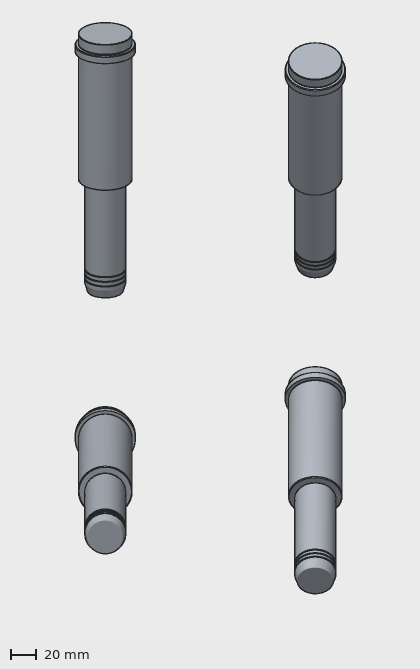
import cadquery as cq

total_length = 220.0

rod_radius = 16.0
sleeve_radius = 21.0
collar_radius = 23.5

sleeve_bottom = 95.0
collar_bottom = 204.8
collar_top = 211.0

tip_height = 7.0
tip_end_radius = 14.0
tip_rounding = 0.7

sleeve_top_chamfer = 0.5
sleeve_bottom_chamfer = 0.7
collar_chamfer = 0.7

rod_relief_height = 1.5
rod_relief_depth = 1.0
collar_relief_flat = 0.2
collar_relief_slope = 0.2
collar_relief_depth = 0.2

groove_count = 3
groove_pitch = 4.0
groove_width = 0.7
groove_depth = 0.5
first_groove_height = 10.8


def cylinder(radius, bottom, top):
    """Solid cylinder on the Z axis between two heights."""
    return cq.Workplane("XY").workplane(offset=bottom).circle(radius).extrude(top - bottom)


def ring_cut(radius, depth, bottom, height):
    """Ring that removes the given depth from a shaft of the given radius."""
    return cylinder(radius, bottom, bottom + height).cut(
        cylinder(radius - depth, bottom, bottom + height)
    )


def make_rod():
    """Lower rod with a tapered tip, ring grooves and a relief under the sleeve."""
    tip = (
        cq.Workplane("XZ")
        .lineTo(tip_end_radius, 0)
        .lineTo(rod_radius, tip_height)
        .lineTo(0, tip_height)
        .close()
        .revolve(360, (0, 0, 0), (0, 1, 0))
        .faces("<Z")
        .edges()
        .fillet(tip_rounding)
    )
    rod = tip.union(cylinder(rod_radius, tip_height, sleeve_bottom))
    for index in range(groove_count):
        middle = first_groove_height + index * groove_pitch
        rod = rod.cut(ring_cut(rod_radius, groove_depth, middle - groove_width / 2, groove_width))
    relief_bottom = sleeve_bottom - rod_relief_height
    return rod.cut(ring_cut(rod_radius, rod_relief_depth, relief_bottom, rod_relief_height))


def collar_relief(shoulder, direction):
    """Relief starting at a collar face (direction +1 up, -1 down) with a sloping far wall."""
    floor_radius = sleeve_radius - collar_relief_depth
    flat_end = shoulder + direction * collar_relief_flat
    slope_end = flat_end + direction * collar_relief_slope
    return (
        cq.Workplane("XZ")
        .moveTo(floor_radius, shoulder)
        .lineTo(floor_radius, flat_end)
        .lineTo(sleeve_radius, slope_end)
        .lineTo(sleeve_radius, shoulder)
        .close()
        .revolve(360, (0, 0, 0), (0, 1, 0))
    )


def make_sleeve():
    """Upper sleeve with chamfered ends and a relief on each side of the collar."""
    sleeve = cylinder(sleeve_radius, sleeve_bottom, total_length)
    sleeve = sleeve.faces("<Z").chamfer(sleeve_bottom_chamfer)
    sleeve = sleeve.faces(">Z").chamfer(sleeve_top_chamfer)
    return sleeve.cut(collar_relief(collar_top, 2.2)).cut(collar_relief(collar_bottom, -2.2))


def make_collar():
    """Collar around the sleeve with a chamfered upper edge."""
    return cylinder(collar_radius, collar_bottom, collar_top).faces(">Z").chamfer(collar_chamfer)


result = make_rod().union(make_sleeve()).union(make_collar())